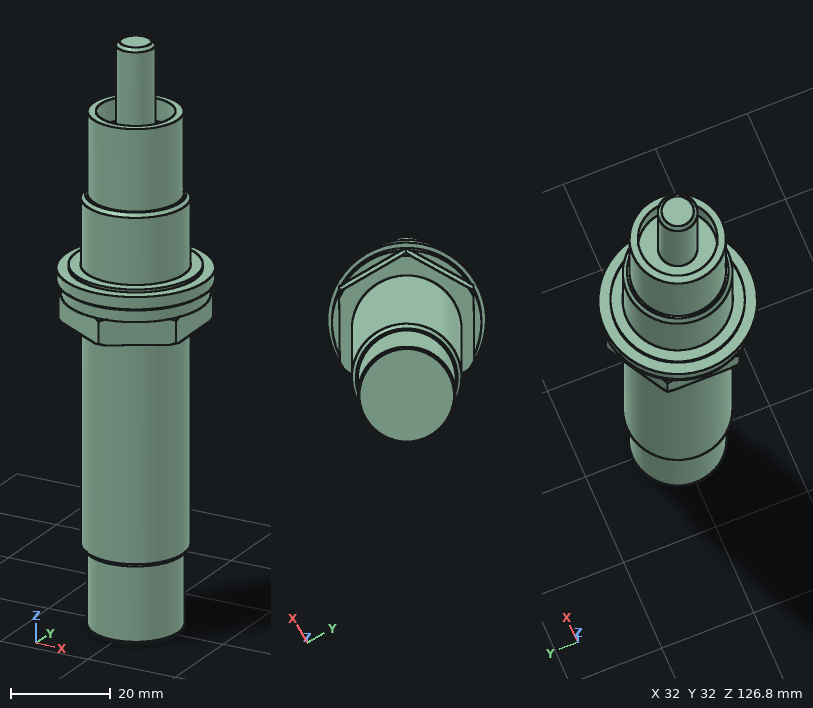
import cadquery as cq
import math

total_height = 126.8
barrel_diameter = 22.0
barrel_shoulder_diameter = 20.4
barrel_chamfer = (barrel_diameter - barrel_shoulder_diameter) / 2
tail_diameter = 19.7
tail_height = 17.1
tail_chamfer_height = 0.6
tail_chamfer_width = 0.32
barrel_top = 93.8
tube_diameter = 19.4
tube_bore_diameter = 16.0
tube_top = 111.7
tube_bore_depth = 5.0

rod_diameter = 8.0
rod_chamfer = 0.8

nut_bottom = 66.5
nut_height = 5.6
nut_across_flats = 27.0
nut_across_corners = nut_across_flats / math.cos(math.radians(30))
nut_chamfer_height = 0.4
nut_chamfer_diameter = 30.0

washer_bottom = nut_bottom + nut_height
washer_diameter = 30.0
washer_bore_diameter = 22.5
washer_height = 2.5

collar_bottom = washer_bottom + washer_height
collar_flange_diameter = 32.0
collar_flange_height = 2.7
collar_boss_diameter = 27.0
collar_boss_height = 0.6
collar_bore_diameter = 22.2
collar_height = collar_flange_height + 2 * collar_boss_height


def cylinder(diameter, bottom, height):
    """Upright cylinder on the common axis."""
    return cq.Workplane("XY").workplane(offset=bottom).circle(diameter / 2).extrude(height)


def make_housing():
    """Barrel with its tail, open tube and the rod rising from the tube bore's floor."""
    tail = cylinder(tail_diameter, 0, tail_height)
    tail = tail.faces("<Z").chamfer(tail_chamfer_height, tail_chamfer_width)
    barrel = cylinder(barrel_diameter, tail_height, barrel_top - tail_height)
    barrel = barrel.faces("<Z or >Z").chamfer(barrel_chamfer)
    tube = cylinder(tube_diameter, barrel_top, tube_top - barrel_top)
    bore_floor = tube_top - tube_bore_depth
    bore = cylinder(tube_bore_diameter, bore_floor, tube_bore_depth)
    rod = cylinder(rod_diameter, bore_floor, total_height - bore_floor)
    rod = rod.faces(">Z").chamfer(rod_chamfer)
    return tail.union(barrel).union(tube).cut(bore).union(rod)


def make_nut():
    """Hex nut with corners along Y and conically chamfered at both ends."""
    nut = (
        cq.Workplane("XY")
        .workplane(offset=nut_bottom)
        .polygon(6, nut_across_corners)
        .extrude(nut_height)
        .rotate((0, 0, 0), (0, 0, 1), 30)
    )
    chamfer_run = (nut_across_corners - nut_chamfer_diameter) / 2
    envelope = cylinder(nut_across_corners, nut_bottom, nut_height)
    envelope = envelope.faces("<Z or >Z").chamfer(nut_chamfer_height, chamfer_run)
    return nut.intersect(envelope).cut(cylinder(barrel_diameter, nut_bottom, nut_height))


def make_washer():
    washer = cylinder(washer_diameter, washer_bottom, washer_height)
    return washer.cut(cylinder(washer_bore_diameter, washer_bottom, washer_height))


def make_collar():
    """Collar ring whose bosses leave a narrow groove between its flange and the washer."""
    core = cylinder(collar_boss_diameter, collar_bottom, collar_height)
    flange = cylinder(collar_flange_diameter, collar_bottom + collar_boss_height, collar_flange_height)
    bore = cylinder(collar_bore_diameter, collar_bottom, collar_height)
    return core.union(flange).cut(bore)


housing = make_housing()
nut = make_nut()
washer = make_washer()
collar = make_collar()

result = cq.Compound.makeCompound([housing.val(), nut.val(), washer.val(), collar.val()])